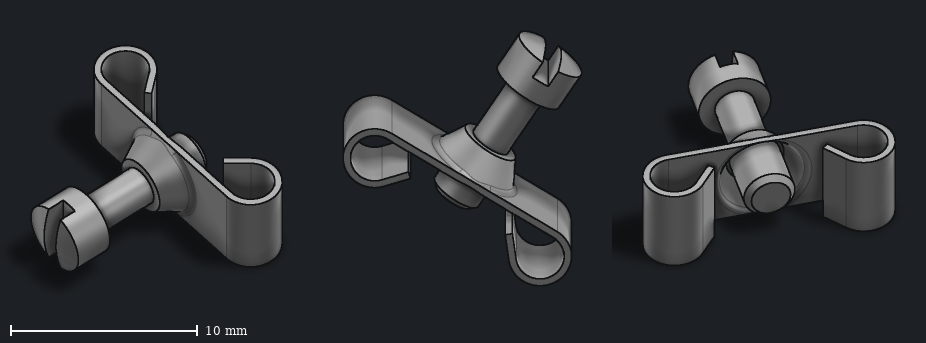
import cadquery as cq
import math

overall_length = 13.89
strip_width = 5.0
strip_thickness = 0.4
loop_radius = 1.7
tail_length = 1.49
tail_angle = 50.0

collar_height = 1.61
collar_tip_radius = 1.61
collar_half_angle = 28.0
collar_blend_radius = 0.4
root_tolerance = 0.01

shank_diameter = 2.21
stud_diameter = 2.83
stud_end = 2.11
stud_chamfer = 0.33
head_diameter = 4.0
head_back = -5.39
head_rim = -7.6
head_crown = -7.93
slot_width = 0.99
slot_floor = -6.6

loop_center_x = overall_length / 2 - loop_radius
inner_loop_radius = loop_radius - strip_thickness
slope = math.radians(collar_half_angle)
dish_floor = strip_thickness - collar_height
collar_base_radius = collar_tip_radius + collar_height * math.tan(slope)
blend_reach = collar_blend_radius * math.tan((math.pi / 2 - slope) / 2)
flare_radius = collar_base_radius + blend_reach


def make_loop():
    """Right-hand curl: round the end of the strip, then a straight tail."""
    tail = math.radians(tail_angle)
    normal = (-math.sin(tail), math.cos(tail))
    direction = (-math.cos(tail), -math.sin(tail))

    def on_end_arc(radius):
        return (loop_center_x + radius * normal[0], loop_radius + radius * normal[1])

    def on_tail_end(radius):
        x, y = on_end_arc(radius)
        return (x + tail_length * direction[0], y + tail_length * direction[1])

    return (
        cq.Workplane("XY")
        .workplane(offset=-strip_width / 2)
        .moveTo(loop_center_x, 0)
        .threePointArc((loop_center_x + loop_radius, loop_radius), on_end_arc(loop_radius))
        .lineTo(*on_tail_end(loop_radius))
        .lineTo(*on_tail_end(inner_loop_radius))
        .lineTo(*on_end_arc(inner_loop_radius))
        .threePointArc(
            (loop_center_x + inner_loop_radius, loop_radius),
            (loop_center_x, strip_thickness),
        )
        .close()
        .extrude(strip_width)
    )


def make_frustum():
    """Solid cone frustum widening from the collar tip to the front face of the strip."""
    return (
        cq.Workplane("XY")
        .moveTo(0, -collar_height)
        .lineTo(collar_tip_radius, -collar_height)
        .lineTo(collar_base_radius, 0)
        .lineTo(0, 0)
        .close()
        .revolve(360, (0, 0, 0), (0, 1, 0))
    )


def make_strip_with_collar():
    """Flat strip with the blended collar in front and the matching dish behind."""
    strip = (
        cq.Workplane("XY")
        .box(2 * loop_center_x, strip_thickness, strip_width)
        .translate((0, strip_thickness / 2, 0))
    )
    collar_root = cq.selectors.BoxSelector(
        (-overall_length, -root_tolerance, -strip_width),
        (overall_length, root_tolerance, strip_width),
    )
    body = strip.union(make_frustum())
    body = body.edges(collar_root).edges("%CIRCLE").fillet(collar_blend_radius)
    return body.cut(make_dish())


def make_dish():
    """Hollow behind the collar: the front profile moved back by the strip thickness."""
    blend_center_y = strip_thickness - collar_blend_radius
    middle_angle = (math.pi / 2 + slope) / 2

    def on_blend(angle):
        return (
            flare_radius - collar_blend_radius * math.cos(angle),
            blend_center_y + collar_blend_radius * math.sin(angle),
        )

    return (
        cq.Workplane("XY")
        .moveTo(0, dish_floor)
        .lineTo(collar_tip_radius, dish_floor)
        .lineTo(*on_blend(slope))
        .threePointArc(on_blend(middle_angle), (flare_radius, strip_thickness))
        .lineTo(0, strip_thickness)
        .close()
        .revolve(360, (0, 0, 0), (0, 1, 0))
    )


def make_screw():
    """Stud, shank and domed head turned about Y, with a slot across the head."""
    shank_radius = shank_diameter / 2
    stud_radius = stud_diameter / 2
    head_radius = head_diameter / 2
    dome_height = head_rim - head_crown
    dome_radius = (head_radius**2 + dome_height**2) / (2 * dome_height)
    dome_middle_x = head_radius / 2
    dome_middle_y = head_crown + dome_radius - math.sqrt(dome_radius**2 - dome_middle_x**2)

    screw = (
        cq.Workplane("XY")
        .moveTo(0, head_crown)
        .threePointArc((dome_middle_x, dome_middle_y), (head_radius, head_rim))
        .lineTo(head_radius, head_back)
        .lineTo(shank_radius, head_back)
        .lineTo(shank_radius, dish_floor)
        .lineTo(stud_radius, dish_floor)
        .lineTo(stud_radius, stud_end - stud_chamfer)
        .lineTo(stud_radius - stud_chamfer, stud_end)
        .lineTo(0, stud_end)
        .close()
        .revolve(360, (0, 0, 0), (0, 1, 0))
    )
    slot_depth = slot_floor - head_crown
    slot = (
        cq.Workplane("XY")
        .box(slot_width, slot_depth, head_diameter)
        .translate((0, slot_floor - slot_depth / 2, 0))
    )
    return screw.cut(slot)


right_loop = make_loop()
left_loop = right_loop.mirror("YZ")

result = make_strip_with_collar().union(right_loop).union(left_loop).union(make_screw())